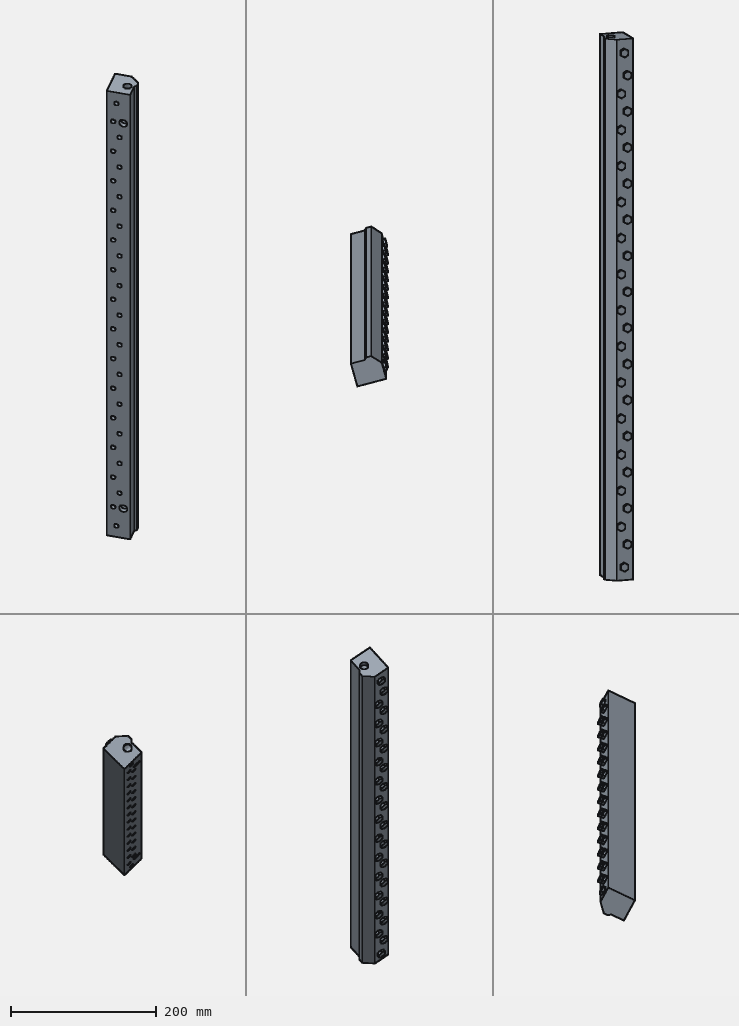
import cadquery as cq
import math

length = 762.0
total_depth = 45.0
boss_height = 4.0
body_depth = total_depth - boss_height
body_width = 33.5

nose_width = 36.5
back_width = 24.0
nose_back_y = 30.0
nose_front_y = 23.0
nose_root_y = nose_front_y - (nose_width - body_width)

station_count = 27
station_pitch = 76 / 3
first_station_z = (length - (station_count - 1) * station_pitch) / 2
near_column_x = 9.0
far_column_x = 18.0
end_station_x = (near_column_x + far_column_x) / 2
end_margin = 19.0

hole_diameter = 6.3
hole_depth = 8.0
boss_across_flats = 11.0
boss_across_corners = boss_across_flats / math.cos(math.pi / 6)

drill_diameter = 11.5
drill_depth = 8.0
drill_tip_angle = 118.0
front_drill_x = 24.0
end_drill_x = 24.5
end_drill_y = 18.0


def station_positions():
    """(x, z) of every station."""
    stations = [(end_station_x, end_margin), (end_station_x, length - end_margin)]
    for index in range(station_count):
        x = near_column_x if index % 2 == 0 else far_column_x
        stations.append((x, first_station_z + index * station_pitch))
    return stations


def bar():
    """Plain bar with the nose along its +X side."""
    outline = [
        (0, 0),
        (body_width, 0),
        (body_width, nose_root_y),
        (nose_width, nose_front_y),
        (nose_width, nose_back_y),
        (back_width, body_depth),
        (0, body_depth),
    ]
    return cq.Workplane("XY").polyline(outline).close().extrude(length)


def hexagonal_boss(x, z):
    """Hexagonal boss on the back face, with two corners pointing along Z."""
    back_face = cq.Plane(origin=(x, body_depth, z), xDir=(0, 0, 1), normal=(0, 1, 0))
    return cq.Workplane(back_face).polygon(6, boss_across_corners).extrude(boss_height)


def station_hole(x, z):
    """Flat-bottomed blind hole that enters the front face."""
    front_face = cq.Plane(origin=(x, 0, z), xDir=(0, 0, 1), normal=(0, 1, 0))
    return cq.Workplane(front_face).circle(hole_diameter / 2).extrude(hole_depth)


def drilling(entry, direction):
    """Drilled hole: a cylinder from the entry point, ended by a conical tip."""
    start = cq.Vector(*entry)
    axis = cq.Vector(*direction)
    radius = drill_diameter / 2
    tip_height = radius / math.tan(math.radians(drill_tip_angle / 2))
    shaft = cq.Solid.makeCylinder(radius, drill_depth, start, axis)
    tip = cq.Solid.makeCone(radius, 0, tip_height, start + axis * drill_depth, axis)
    return cq.Workplane(shaft.fuse(tip))


result = bar()

for station_x, station_z in station_positions():
    result = result.union(hexagonal_boss(station_x, station_z))
    result = result.cut(station_hole(station_x, station_z))

for drill_z in (first_station_z, length - first_station_z):
    result = result.cut(drilling((front_drill_x, 0, drill_z), (0, 1, 0)))

result = result.cut(drilling((end_drill_x, end_drill_y, length), (0, 0, -1)))